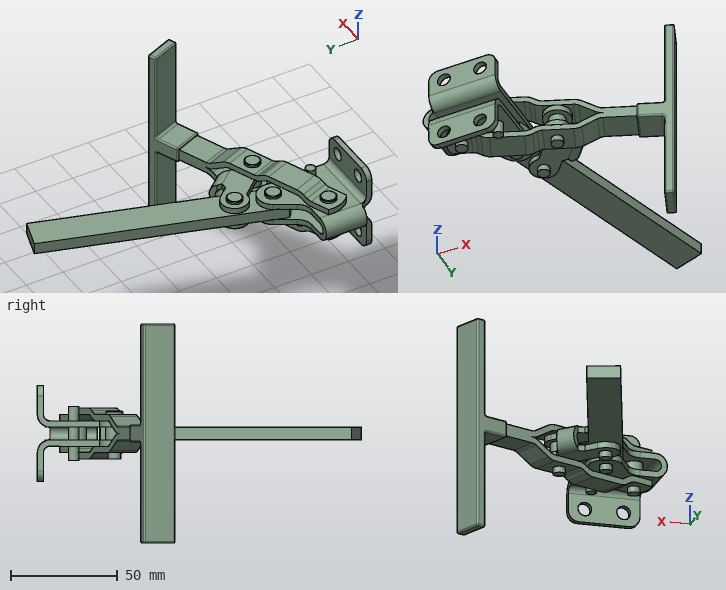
import cadquery as cq
import math


SHEET = 3.0
HALF_GAP = 3.0
OUTER_FACE = HALF_GAP + SHEET
ARM_FACE = OUTER_FACE + SHEET
BEND_RADIUS = 3.0
BEND_OUTER = BEND_RADIUS + SHEET

BASE_LENGTH = 35.0
WALL_TOP = 28.2
FLANGE_HALF_HEIGHT = 22.6
FLANGE_CORNER = 5.0
HOLE_DIAMETER = 6.6
HOLE_X = (8.0, 27.0)
HOLE_Z = 16.0
EAR_RADIUS = 8.0
EAR_SLOPE = math.radians(60)
EAR_BLEND = 8.0
LOOP_BLEND = 2.3

ARM_PIVOT = (7.8, 19.0)
EAR_PIVOT = (BASE_LENGTH - EAR_RADIUS, 38.0)
STOP_PIN_CENTER = (28.0, 17.1)
STOP_PIN_RADIUS = 2.5
STOP_PIN_HALF_LENGTH = 12.75
ARM_ANGLE = 22.5
HANDLE_ANGLE = 73.0
ARM_PIVOT_SPACING = 45.0
HANDLE_PIVOT_SPACING = 18.5

HEAD_RADIUS = 4.0
HEAD_HEIGHT = 1.5
HEAD_CHAMFER = 0.4
BUSH_RADIUS = 4.25
TAIL_RADIUS = 3.0
TAIL_LENGTH = 3.0

HANDLE_WIDTH = 16.0
HANDLE_REACH = 116.9
HANDLE_TAIL = 6.2

LINK_RADIUS = 7.0
LINK_WAIST = 4.0
LINK_BLEND = 2.0
BRIDGE_OFFSET = 9.4
BRIDGE_START = 9.5
BRIDGE_END = 20.4
BRIDGE_SKEW = 1.5
BRIDGE_TRIM = 3.0
BRIDGE_SKEW_DEPTH = 2.0

ARM_WIDTH = 14.0
ARM_TAIL = 5.4
JOGGLE_ANGLE = math.radians(30)
JOGGLE_RADIUS = 5.0
STEP_UP = 4.8
STEP_DOWN = 29.9
STEP_IN = 53.1

CAP_START = 83.0
CAP_WIDTH = 16.0
CAP_WALL = 1.0
CROSSBAR_INNER = 96.0
CROSSBAR_OUTER = 100.65
CROSSBAR_HALF_LENGTH = 51.5
CAP_ROUND = 0.8
CAP_BLEND = 1.3


def polar(center, distance, angle_deg):
    angle = math.radians(angle_deg)
    return (center[0] + distance * math.cos(angle), center[1] + distance * math.sin(angle))


ARM_LINK_PIVOT = polar(ARM_PIVOT, ARM_PIVOT_SPACING, ARM_ANGLE)
HANDLE_PIVOT = polar(EAR_PIVOT, HANDLE_PIVOT_SPACING, HANDLE_ANGLE)


def place(body, pivot, angle_deg):
    """Turn a body built along local X about Z and move its origin to a pivot."""
    return body.rotate((0, 0, 0), (0, 0, 1), angle_deg).translate((pivot[0], pivot[1], 0))


def plane_at(z):
    return cq.Workplane("XY").workplane(offset=z)


def both_sides(body):
    return body.union(body.mirror("XY"))


def round_tail(workplane, tail, width, end):
    """Strip along local X whose tail is an arc with a radius equal to its width."""
    half = width / 2
    bulge = width - math.sqrt(width**2 - half**2)
    return (
        workplane.moveTo(end, half)
        .lineTo(-tail, half)
        .threePointArc((-tail - bulge, 0), (-tail, -half))
        .lineTo(end, -half)
        .close()
    )


def base_wall():
    px, py = EAR_PIVOT
    sine, cosine = math.sin(EAR_SLOPE), math.cos(EAR_SLOPE)
    tangent_point = (px - EAR_RADIUS * sine, py + EAR_RADIUS * cosine)
    foot_x = tangent_point[0] - (tangent_point[1] - WALL_TOP) / math.tan(EAR_SLOPE)
    setback = EAR_BLEND * math.tan(EAR_SLOPE / 2)
    blend_end = (foot_x + setback * cosine, WALL_TOP + setback * sine)
    return (
        plane_at(HALF_GAP)
        .moveTo(0, BEND_OUTER)
        .lineTo(0, WALL_TOP)
        .lineTo(foot_x - setback, WALL_TOP)
        .tangentArcPoint(blend_end, relative=False)
        .lineTo(*tangent_point)
        .tangentArcPoint((px + EAR_RADIUS, py), relative=False)
        .lineTo(BASE_LENGTH, BEND_OUTER)
        .close()
        .extrude(SHEET)
    )


def base_flange():
    bend_z = HALF_GAP + BEND_OUTER
    diagonal = math.sqrt(0.5)
    outer_mid = (BEND_OUTER - BEND_OUTER * diagonal, bend_z - BEND_OUTER * diagonal)
    inner_mid = (BEND_OUTER - BEND_RADIUS * diagonal, bend_z - BEND_RADIUS * diagonal)
    flange = (
        cq.Workplane("YZ")
        .moveTo(BEND_OUTER, HALF_GAP)
        .threePointArc(outer_mid, (0, bend_z))
        .lineTo(0, FLANGE_HALF_HEIGHT)
        .lineTo(SHEET, FLANGE_HALF_HEIGHT)
        .lineTo(SHEET, bend_z)
        .threePointArc(inner_mid, (BEND_OUTER, OUTER_FACE))
        .close()
        .extrude(BASE_LENGTH)
    )
    flange = flange.edges("|Y and >Z").fillet(FLANGE_CORNER)
    holes = (
        cq.Workplane("XZ")
        .pushPoints([(x, HOLE_Z) for x in HOLE_X])
        .circle(HOLE_DIAMETER / 2)
        .extrude(-SHEET)
    )
    return flange.cut(holes)


def base_loop():
    """Half-round bend joining the walls, with blended lower corners."""
    low = BEND_OUTER - LOOP_BLEND
    tube = (
        cq.Workplane("XZ", origin=(0, low, 0))
        .circle(BEND_OUTER)
        .circle(BEND_RADIUS)
        .extrude(low - WALL_TOP)
    )
    corner = LOOP_BLEND * (1 - math.sqrt(0.5))
    footprint = (
        plane_at(-BEND_OUTER)
        .moveTo(0, WALL_TOP)
        .lineTo(-BEND_OUTER, WALL_TOP)
        .lineTo(-BEND_OUTER, BEND_OUTER)
        .lineTo(-LOOP_BLEND, BEND_OUTER)
        .threePointArc((-corner, BEND_OUTER - corner), (0, low))
        .close()
        .extrude(2 * BEND_OUTER)
    )
    return tube.intersect(footprint)


def handle():
    strip = round_tail(plane_at(-HALF_GAP), HANDLE_TAIL, HANDLE_WIDTH, HANDLE_REACH)
    return place(strip.extrude(2 * HALF_GAP), EAR_PIVOT, HANDLE_ANGLE)


def link():
    dx = ARM_LINK_PIVOT[0] - HANDLE_PIVOT[0]
    dy = ARM_LINK_PIVOT[1] - HANDLE_PIVOT[1]
    length = math.hypot(dx, dy)
    step = BRIDGE_OFFSET - LINK_RADIUS
    reach = LINK_RADIUS + LINK_BLEND
    drop = LINK_WAIST + LINK_BLEND
    blend_x = math.sqrt(reach**2 - drop**2)
    touch_x = blend_x * LINK_RADIUS / reach
    touch_y = -drop * LINK_RADIUS / reach
    plate = (
        plane_at(HALF_GAP)
        .moveTo(0, LINK_RADIUS)
        .lineTo(BRIDGE_START - step, LINK_RADIUS)
        .lineTo(BRIDGE_START, BRIDGE_OFFSET)
        .lineTo(BRIDGE_END, BRIDGE_OFFSET)
        .lineTo(BRIDGE_END + step, LINK_RADIUS)
        .lineTo(length, LINK_RADIUS)
        .tangentArcPoint((length - touch_x, touch_y), relative=False)
        .tangentArcPoint((length - blend_x, -LINK_WAIST), relative=False)
        .lineTo(blend_x, -LINK_WAIST)
        .tangentArcPoint((touch_x, touch_y), relative=False)
        .tangentArcPoint((0, LINK_RADIUS), relative=False)
        .close()
        .extrude(SHEET)
    )
    bridge_top = BRIDGE_OFFSET + BEND_OUTER
    footprint = (
        plane_at(-BEND_OUTER)
        .polyline([
            (BRIDGE_START, BRIDGE_OFFSET),
            (BRIDGE_START - BRIDGE_SKEW, BRIDGE_OFFSET + BRIDGE_SKEW_DEPTH),
            (BRIDGE_START - BRIDGE_SKEW, bridge_top),
            (BRIDGE_END - BRIDGE_TRIM, bridge_top),
            (BRIDGE_END, BRIDGE_OFFSET),
        ])
        .close()
        .extrude(2 * BEND_OUTER)
    )
    bridge = (
        cq.Workplane("YZ")
        .center(BRIDGE_OFFSET, 0)
        .circle(BEND_OUTER)
        .circle(BEND_RADIUS)
        .extrude(length)
        .intersect(footprint)
    )
    body = both_sides(plate).union(bridge)
    return place(body, HANDLE_PIVOT, math.degrees(math.atan2(dy, dx)))


def joggle(path, start, z, rise, first_radius, second_radius):
    """Extend a path in the XZ plane by an S-shaped step of two arcs and a slope."""
    sine, cosine = math.sin(JOGGLE_ANGLE), math.cos(JOGGLE_ANGLE)
    half_sine, half_cosine = math.sin(JOGGLE_ANGLE / 2), math.cos(JOGGLE_ANGLE / 2)
    sign = math.copysign(1, rise)
    radii = first_radius + second_radius
    slope_rise = abs(rise) - radii * (1 - cosine)
    end = start + radii * sine + slope_rise / math.tan(JOGGLE_ANGLE)
    top = z + rise
    first_mid = (start + first_radius * half_sine, z + sign * first_radius * (1 - half_cosine))
    first_end = (start + first_radius * sine, z + sign * first_radius * (1 - cosine))
    second_start = (end - second_radius * sine, top - sign * second_radius * (1 - cosine))
    second_mid = (end - second_radius * half_sine, top - sign * second_radius * (1 - half_cosine))
    return (
        path.lineTo(start, z)
        .threePointArc(first_mid, first_end)
        .lineTo(*second_start)
        .threePointArc(second_mid, (end, top))
    )


def below_arm_face(tail_z, concave_radius, convex_radius):
    """Body under one face of the arm sheet, which starts at tail_z on the pivot end."""
    floor = -SHEET
    raised_z = tail_z + SHEET
    joined_z = tail_z - OUTER_FACE
    path = cq.Workplane("XZ", origin=(0, ARM_WIDTH / 2, 0)).moveTo(-ARM_WIDTH, tail_z)
    path = joggle(path, STEP_UP, tail_z, SHEET, concave_radius, convex_radius)
    path = joggle(path, STEP_DOWN, raised_z, -SHEET, convex_radius, concave_radius)
    path = joggle(path, STEP_IN, tail_z, -OUTER_FACE, convex_radius, concave_radius)
    return (
        path.lineTo(CROSSBAR_INNER, joined_z)
        .lineTo(CROSSBAR_INNER, floor)
        .lineTo(-ARM_WIDTH, floor)
        .close()
        .extrude(ARM_WIDTH)
    )


def arm():
    wide_radius = JOGGLE_RADIUS + SHEET
    sheet = below_arm_face(ARM_FACE, JOGGLE_RADIUS, wide_radius).cut(
        below_arm_face(OUTER_FACE, wide_radius, JOGGLE_RADIUS)
    )
    outline = round_tail(plane_at(0), ARM_TAIL, ARM_WIDTH, CROSSBAR_INNER)
    plate = sheet.intersect(outline.extrude(2 * ARM_FACE))
    return place(both_sides(plate), ARM_PIVOT, ARM_ANGLE)


def box_between(x0, x1, width, height):
    return cq.Workplane("XY").box(x1 - x0, width, height).translate(((x0 + x1) / 2, 0, 0))


def grip():
    neck_height = 2 * (SHEET + CAP_WALL)
    neck = box_between(CAP_START, CROSSBAR_OUTER, CAP_WIDTH, neck_height)
    crossbar = box_between(CROSSBAR_INNER, CROSSBAR_OUTER, CAP_WIDTH, 2 * CROSSBAR_HALF_LENGTH)
    body = neck.union(crossbar).clean()
    inner_corner = cq.selectors.BoxSelector(
        (CROSSBAR_INNER - CAP_WALL, -CAP_WIDTH, -neck_height),
        (CROSSBAR_INNER + CAP_WALL, CAP_WIDTH, neck_height),
    )
    body = body.edges("|Y").edges(inner_corner).fillet(CAP_BLEND)
    body = body.faces("<X or >X or <Y or >Y or <Z or >Z").edges().fillet(CAP_ROUND)
    return place(body, ARM_PIVOT, ARM_ANGLE)


def rivet(center, face_z):
    """Rivet through plates whose outer faces are at +-face_z, headed at +Z."""
    head = plane_at(face_z).circle(HEAD_RADIUS).extrude(HEAD_HEIGHT)
    head = head.faces(">Z").chamfer(HEAD_CHAMFER)
    bush = plane_at(-HALF_GAP).circle(BUSH_RADIUS).extrude(2 * HALF_GAP)
    shank_length = 2 * face_z + TAIL_LENGTH
    shank = plane_at(-face_z - TAIL_LENGTH).circle(TAIL_RADIUS).extrude(shank_length)
    return shank.union(bush).union(head).translate((center[0], center[1], 0))


def stop_pin():
    pin = plane_at(-STOP_PIN_HALF_LENGTH).circle(STOP_PIN_RADIUS).extrude(2 * STOP_PIN_HALF_LENGTH)
    return pin.translate((STOP_PIN_CENTER[0], STOP_PIN_CENTER[1], 0))


base = both_sides(base_wall().union(base_flange())).union(base_loop())
result = base.union(handle()).union(link()).union(arm()).union(grip()).union(stop_pin())
for pivot, plate_face in (
    (ARM_PIVOT, ARM_FACE),
    (ARM_LINK_PIVOT, ARM_FACE),
    (EAR_PIVOT, OUTER_FACE),
    (HANDLE_PIVOT, OUTER_FACE),
):
    result = result.union(rivet(pivot, plate_face))